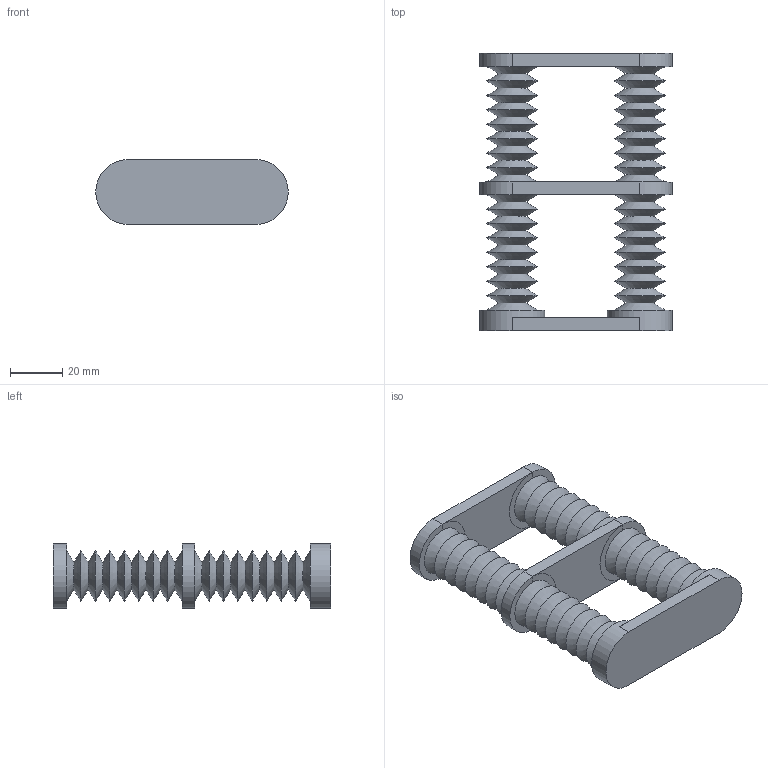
import cadquery as cq

overall_width = 73.33
overall_length = 105.61
plate_height = 24.75

end_plate_thickness = 5.0
middle_plate_thickness = 4.8
front_pad_rise = 2.8

ridge_radius = 9.65
groove_radius = 5.2
grooves_per_column = 8

pad_radius = plate_height / 2
column_spacing = overall_width - plate_height
total_column_length = overall_length - 2 * end_plate_thickness - front_pad_rise - middle_plate_thickness
column_length = total_column_length / 2
groove_pitch = column_length / grooves_per_column

front_column_y = end_plate_thickness + front_pad_rise
middle_plate_y = front_column_y + column_length
back_column_y = middle_plate_y + middle_plate_thickness
back_plate_y = back_column_y + column_length
column_x_positions = (-column_spacing / 2, column_spacing / 2)


def make_link(y, thickness):
    """Flat bar between the two pad axes, reaching from y to y + thickness."""
    return cq.Workplane("XZ", origin=(0, y, 0)).rect(column_spacing, plate_height).extrude(-thickness)


def make_pad(x, y, thickness):
    """Round pad centred on x, reaching from y to y + thickness, whose side is two half cylinders."""
    outline = cq.Workplane("XZ", origin=(x, y, 0)).moveTo(0, pad_radius)
    outline = outline.threePointArc((pad_radius, 0), (0, -pad_radius))
    outline = outline.threePointArc((-pad_radius, 0), (0, pad_radius))
    return outline.close().extrude(-thickness)


def make_plate(y, link_thickness, pad_thickness, merge_faces):
    """Link with a pad at each end; unmerged faces keep the outlines of flush pads."""
    plate = make_link(y, link_thickness)
    for x in column_x_positions:
        plate = plate.union(make_pad(x, y, pad_thickness), clean=merge_faces)
    return plate


def make_bellows(x, y):
    """Solid column along Y whose V grooves start and end on a sharp ridge."""
    profile = cq.Workplane("YZ", origin=(x, y, 0)).lineTo(0, ridge_radius)
    for groove in range(grooves_per_column):
        profile = profile.lineTo((groove + 0.5) * groove_pitch, groove_radius)
        profile = profile.lineTo((groove + 1) * groove_pitch, ridge_radius)
    profile = profile.lineTo(column_length, 0).close()
    return profile.revolve(360, (0, 0, 0), (1, 0, 0))


front_plate = make_plate(0, end_plate_thickness, front_column_y, merge_faces=True)
middle_plate = make_plate(middle_plate_y, middle_plate_thickness, middle_plate_thickness, merge_faces=False)
back_plate = make_plate(back_plate_y, end_plate_thickness, end_plate_thickness, merge_faces=False)
result = front_plate.union(middle_plate, clean=False).union(back_plate, clean=False)

for column_y in (front_column_y, back_column_y):
    for column_x in column_x_positions:
        result = result.union(make_bellows(column_x, column_y), clean=False)